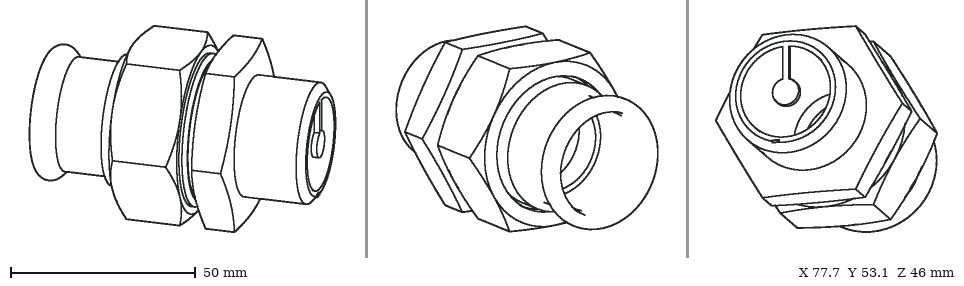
import cadquery as cq
import math

body_end_x = 77.5
bore_dia = 25.6

bead_radius = 3.1
bead_centre_radius = 15.5
tube_dia = 31.3
collar_dia = 36.0
collar_start_x = 20.8
collar_fillet = 1.7
lip_round = 0.8
lead_in_end_x = 1.95
lead_in_dia = 29.3
throat_x = 5.05
throat_dia = 28.2
socket_start_x = 8.0
socket_dia = 28.8
socket_end_x = 23.3
joint_x = 31.1
flange_start_x = 28.0

hex_flats = 46.0
hex_corners = hex_flats / math.cos(math.radians(30))
nut_start_x = 24.55
nut_end_x = 43.7
nut_hole_dia = 37.9
nut_chamfer_angle = 30
body_hex_start_x = 48.0
body_hex_end_x = 58.0
body_hex_chamfer_angle = 14

union_thread_dia = 41.9
union_chamfer_dia = 38.9
union_chamfer_start_x = 44.5
union_thread_end_x = 45.6
neck_dia = 37.8
pipe_thread_dia = 33.25
pipe_end_dia = 28.4
pipe_chamfer_start_x = 75.45

disc_dia = 7.45
disc_thickness = 1.55
arm_width = 1.7
pip_y = -2.8
pip_z = -13.75
pip_width = 1.9
pip_height = 0.6
pip_end_x = 77.7


def x_cylinder(diameter, start_x, end_x):
    return cq.Workplane("YZ", origin=(start_x, 0, 0)).circle(diameter / 2).extrude(end_x - start_x)


def turn(profile):
    """Revolve an (x, radius) profile about the X axis."""
    return profile.close().revolve(360, (0, 0, 0), (1, 0, 0))


def chamfered_hexagon(start_x, end_x, chamfer_angle):
    """Hexagon with corners on Y, turned down conically at both ends."""
    prism = cq.Workplane("YZ", origin=(start_x, 0, 0)).polygon(6, hex_corners).extrude(end_x - start_x)
    corner_radius = hex_corners / 2
    face_radius = hex_flats / 2
    depth = (corner_radius - face_radius) * math.tan(math.radians(chamfer_angle))
    envelope = turn(
        cq.Workplane("XY")
        .moveTo(start_x, 0)
        .lineTo(start_x, face_radius)
        .lineTo(start_x + depth, corner_radius)
        .lineTo(end_x - depth, corner_radius)
        .lineTo(end_x, face_radius)
        .lineTo(end_x, 0)
    )
    return prism.intersect(envelope)


def make_press_tail():
    diagonal = math.sqrt(0.5)
    bead_end_x = bead_radius * (1 + diagonal)
    bead_end_radius = bead_centre_radius + bead_radius * diagonal
    tube_radius = tube_dia / 2
    cone_end_x = bead_end_x + bead_end_radius - tube_radius
    fillet_start_x = collar_start_x - collar_fillet
    fillet_middle = (
        fillet_start_x + collar_fillet * diagonal,
        tube_radius + collar_fillet * (1 - diagonal),
    )
    lip_middle = (
        lip_round * (1 - diagonal),
        bead_centre_radius - lip_round * diagonal,
    )
    return turn(
        cq.Workplane("XY")
        .moveTo(0, bead_centre_radius)
        .threePointArc(
            (bead_radius * (1 - diagonal), bead_centre_radius + bead_radius * diagonal),
            (bead_end_x, bead_end_radius),
        )
        .lineTo(cone_end_x, tube_radius)
        .lineTo(fillet_start_x, tube_radius)
        .threePointArc(fillet_middle, (collar_start_x, tube_radius + collar_fillet))
        .lineTo(collar_start_x, collar_dia / 2)
        .lineTo(flange_start_x, collar_dia / 2)
        .lineTo(flange_start_x, union_thread_dia / 2)
        .lineTo(joint_x, union_thread_dia / 2)
        .lineTo(joint_x, bore_dia / 2)
        .lineTo(socket_end_x, bore_dia / 2)
        .lineTo(socket_end_x, socket_dia / 2)
        .lineTo(socket_start_x, socket_dia / 2)
        .lineTo(throat_x, throat_dia / 2)
        .lineTo(lead_in_end_x, lead_in_dia / 2)
        .lineTo(lip_round, bead_centre_radius - lip_round)
        .threePointArc(lip_middle, (0, bead_centre_radius))
    )


def make_union_nut():
    hexagon = chamfered_hexagon(nut_start_x, nut_end_x, nut_chamfer_angle)
    collar_hole = x_cylinder(nut_hole_dia, nut_start_x, flange_start_x)
    thread_hole = x_cylinder(union_thread_dia, flange_start_x, nut_end_x)
    return hexagon.cut(collar_hole).cut(thread_hole)


def make_centre_disc():
    start_x = body_end_x - disc_thickness
    disc = x_cylinder(disc_dia, start_x, body_end_x)
    arm_length = (bore_dia + pipe_end_dia) / 4
    arm = cq.Workplane("XY").box(
        disc_thickness, arm_width, arm_length, centered=(False, True, False)
    ).translate((start_x, 0, 0))
    return disc.union(arm)


def make_end_pip():
    length = 2 * (pip_end_x - body_end_x)
    return cq.Workplane("XY").box(length, pip_width, pip_height).translate((body_end_x, pip_y, pip_z))


def make_threaded_body():
    shaft = turn(
        cq.Workplane("XY")
        .moveTo(joint_x, 0)
        .lineTo(joint_x, union_thread_dia / 2)
        .lineTo(union_chamfer_start_x, union_thread_dia / 2)
        .lineTo(union_thread_end_x, union_chamfer_dia / 2)
        .lineTo(union_thread_end_x, neck_dia / 2)
        .lineTo(body_hex_start_x, neck_dia / 2)
        .lineTo(body_hex_start_x, pipe_thread_dia / 2)
        .lineTo(pipe_chamfer_start_x, pipe_thread_dia / 2)
        .lineTo(body_end_x, pipe_end_dia / 2)
        .lineTo(body_end_x, 0)
    )
    hexagon = chamfered_hexagon(body_hex_start_x, body_hex_end_x, body_hex_chamfer_angle)
    bore = x_cylinder(bore_dia, joint_x, body_end_x)
    return shaft.union(hexagon).cut(bore).union(make_centre_disc()).union(make_end_pip())


press_tail = make_press_tail()
union_nut = make_union_nut()
threaded_body = make_threaded_body()

result = cq.Compound.makeCompound([press_tail.val(), union_nut.val(), threaded_body.val()])